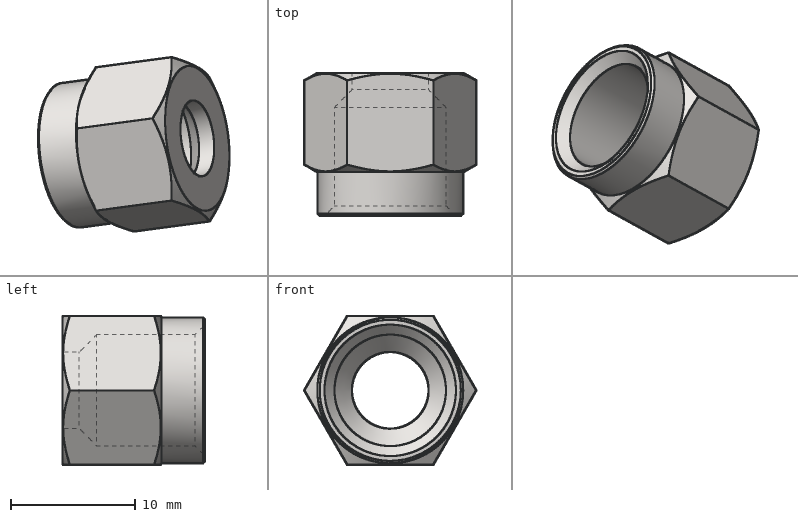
import cadquery as cq
import math

across_corners = 13.86
total_length = 11.5
collar_length = 3.5
collar_radius = 5.88
collar_chamfer = 0.2

corner_chamfer_angle = 30.0

mouth_radius = 5.3
bore_radius = 4.49
mouth_depth = mouth_radius - bore_radius
seat_depth = 8.73
hole_radius = 3.08
seat_half_angle = 45.0


def revolve_about_y(points):
    """Revolve a closed (radius, y) outline about the Y axis."""
    return cq.Workplane("XY").polyline(points).close().revolve(360, (0, 0, 0), (0, 1, 0))


def make_hexagon():
    """Hexagon with flats facing +Z and -Z and both ends turned to a cone."""
    hexagon = (
        cq.Workplane("XZ", origin=(0, collar_length, 0))
        .polygon(6, across_corners)
        .extrude(collar_length - total_length)
    )
    corner_radius = across_corners / 2
    cone_depth = (corner_radius - collar_radius) * math.tan(math.radians(corner_chamfer_angle))
    envelope = revolve_about_y([
        (0, collar_length),
        (collar_radius, collar_length),
        (corner_radius, collar_length + cone_depth),
        (corner_radius, total_length - cone_depth),
        (collar_radius, total_length),
        (0, total_length),
    ])
    return hexagon.intersect(envelope)


def make_collar():
    """Round collar reaching into the hexagon, chamfered at its free end."""
    return revolve_about_y([
        (0, 0),
        (collar_radius - collar_chamfer, 0),
        (collar_radius, collar_chamfer),
        (collar_radius, collar_length),
        (0, collar_length),
    ])


def make_bore():
    """Flared mouth, straight bore, conical seat and through hole."""
    seat_length = (bore_radius - hole_radius) / math.tan(math.radians(seat_half_angle))
    return revolve_about_y([
        (0, 0),
        (mouth_radius, 0),
        (bore_radius, mouth_depth),
        (bore_radius, seat_depth),
        (hole_radius, seat_depth + seat_length),
        (hole_radius, total_length),
        (0, total_length),
    ])


result = make_hexagon().union(make_collar()).cut(make_bore())